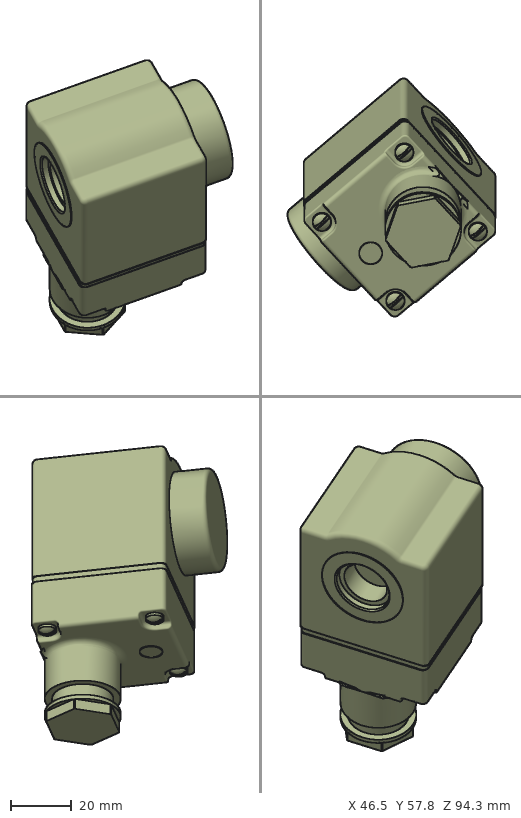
import cadquery as cq
import math


body_width = 46.5
body_depth = 45.1
body_bottom = 45.3
shoulder_z = 89.8
total_height = 94.3
crown_radius = 22.1
edge_radius = 1.9
axis_z = total_height - crown_radius

boss_diameter = 34.3
boss_length = 12.3
boss_edge_radius = 1.5
ring_diameter = 29.2
ring_height = 0.4

bore_diameter = 15.5
bore_depth = 10.2
counterbore_diameter = 19.0
counterbore_depth = 2.3
mouth_diameter = 20.0

housing_width = 45.6
housing_front = -0.3
housing_back = body_depth
housing_top = 43.4
housing_bottom = 25.6
bottom_edge_radius = 1.5
lip_side_inset = 0.3
lip_face_inset = 0.1
lip_corner_radius = 2.1

pocket_size = 9.05
pocket_height = 2.45
pocket_corner_radius = 4.2
pocket_ceiling_radius = 1.1
pocket_lip_radius = 0.6
screw_inset = 4.6
screw_diameter = 6.0
screw_rim_z = 27.1
screw_dome_height = 1.3
slot_width = 0.9

pad_diameter = 7.5
pad_height = 0.3
pad_y = 35.2

gland_diameter = 25.0
gland_y = housing_front + gland_diameter / 2
collar_bottom = 10.5
flare_radius = 2.2
flare_runout_y = 1.7
web_half_width = 8.1
neck_diameter = 20.2
flange_bottom = 3.7
flange_top = 5.2
nut_across_flats = 21.9


def rod(diameter, x, y, z_low, z_high):
    """Vertical cylinder between two heights."""
    return cq.Workplane("XY", origin=(x, y, z_low)).circle(diameter / 2).extrude(z_high - z_low)


def rod_along_y(diameter, y_start, y_end):
    """Cylinder on the coil axis between two Y positions."""
    plane = cq.Workplane("XZ", origin=(0, y_start, axis_z))
    return plane.circle(diameter / 2).extrude(y_start - y_end)


def block(width, y_front, y_back, z_low, z_high):
    """Box centred on X between the given Y and Z limits."""
    plane = cq.Workplane("XY", origin=(0, (y_front + y_back) / 2, z_low))
    return plane.rect(width, y_back - y_front).extrude(z_high - z_low)


def coil_body():
    """Block with a crowned top, rounded on every edge except the bottom ones."""
    half_width = body_width / 2
    crown_half_width = math.sqrt(crown_radius**2 - (shoulder_z - axis_z) ** 2)
    shape = (
        cq.Workplane("XZ")
        .moveTo(-half_width, body_bottom)
        .lineTo(-half_width, shoulder_z)
        .lineTo(-crown_half_width, shoulder_z)
        .threePointArc((0, total_height), (crown_half_width, shoulder_z))
        .lineTo(half_width, shoulder_z)
        .lineTo(half_width, body_bottom)
        .close()
        .extrude(-body_depth)
    )
    shape = shape.edges("|Y and (not <Z)").fillet(edge_radius)
    return shape.faces("<Y or >Y").edges("not <Z").fillet(edge_radius)


def housing_shell():
    """Connector housing with a slightly inset lip joining it to the coil."""
    lip_width = body_width - 2 * lip_side_inset
    lip_back = body_depth - lip_face_inset
    lip = block(lip_width, lip_face_inset, lip_back, housing_top, body_bottom)
    lip = lip.edges("|Z").fillet(lip_corner_radius)
    shell = block(housing_width, housing_front, housing_back, housing_bottom, housing_top)
    shell = shell.edges("|Z").fillet(edge_radius)
    return shell.faces("<Z").edges().fillet(bottom_edge_radius).union(lip)


def pocket(x_side, y_corner, y_side):
    """Corner pocket, rounded around the screw and along its ceiling."""
    cutter = (
        cq.Workplane("XY", origin=(x_side * housing_width / 2, y_corner, housing_bottom - pocket_height))
        .rect(2 * pocket_size, 2 * pocket_size)
        .extrude(2 * pocket_height)
    )
    inner_x = "<X" if x_side > 0 else ">X"
    inner_y = "<Y" if y_side > 0 else ">Y"
    cutter = cutter.faces(inner_x).edges("|Z").edges(inner_y).fillet(pocket_corner_radius)
    return cutter.faces(">Z").edges().fillet(pocket_ceiling_radius)


def pocket_rim(x_side, y_corner):
    """Selector for the arc where a pocket ceiling meets the rounded housing corner."""
    x_corner = x_side * housing_width / 2
    ceiling_z = housing_bottom + pocket_height
    margin = edge_radius / 2
    return cq.selectors.BoxSelector(
        (x_corner - margin, y_corner - margin, ceiling_z - pocket_lip_radius),
        (x_corner + margin, y_corner + margin, ceiling_z + pocket_lip_radius),
    )


def screw(x, y):
    """Domed screw head with a slot along Y."""
    head_radius = screw_diameter / 2
    tip_z = screw_rim_z - screw_dome_height
    sphere_radius = (head_radius**2 + screw_dome_height**2) / (2 * screw_dome_height)
    dome = cq.Workplane("XY", origin=(x, y, tip_z + sphere_radius)).sphere(sphere_radius)
    head = rod(screw_diameter, x, y, tip_z, housing_bottom + pocket_height).intersect(dome)
    slot = (
        cq.Workplane("XY", origin=(x, y, tip_z))
        .rect(slot_width, screw_diameter)
        .extrude(screw_dome_height)
    )
    return head.cut(slot)


def gland_flare():
    """Concave flare from collar to housing that runs out towards the front face."""
    collar_radius = gland_diameter / 2
    low_z = housing_bottom - flare_radius
    middle = flare_radius * (1 - math.sqrt(0.5))
    flare = (
        cq.Workplane("XZ", origin=(0, gland_y, 0))
        .moveTo(0, low_z)
        .lineTo(collar_radius, low_z)
        .threePointArc(
            (collar_radius + middle, housing_bottom - middle),
            (collar_radius + flare_radius, housing_bottom),
        )
        .lineTo(0, housing_bottom)
        .close()
        .revolve(360, (0, 0, 0), (0, 1, 0))
    )
    runout = (
        cq.Workplane("YZ")
        .moveTo(housing_front, housing_bottom)
        .lineTo(flare_runout_y, low_z)
        .lineTo(housing_back, low_z)
        .lineTo(housing_back, housing_bottom)
        .close()
        .extrude(body_width / 2, both=True)
    )
    return flare.intersect(runout)


def gland_web():
    """Tapered web carrying the front face down to the collar."""
    top_z = housing_bottom + bottom_edge_radius
    return (
        cq.Workplane("XZ", origin=(0, housing_front, 0))
        .moveTo(-web_half_width, top_z)
        .lineTo(web_half_width, top_z)
        .lineTo(0, housing_bottom)
        .close()
        .extrude(-bottom_edge_radius)
    )


def cable_gland():
    """Collar, neck, flange and hexagonal nut stacked on one vertical axis."""
    collar = rod(gland_diameter, 0, gland_y, collar_bottom, housing_bottom + bottom_edge_radius)
    neck = rod(neck_diameter, 0, gland_y, flange_top, collar_bottom)
    flange = rod(gland_diameter, 0, gland_y, flange_bottom, flange_top)
    across_corners = nut_across_flats / math.cos(math.pi / 6)
    hexagon = (
        cq.Workplane("XY", origin=(0, gland_y, 0)).polygon(6, across_corners).extrude(flange_bottom)
    )
    nut = hexagon.intersect(rod(gland_diameter, 0, gland_y, 0, flange_bottom))
    return collar.union(neck).union(flange).union(nut).union(gland_flare()).union(gland_web())


boss = rod_along_y(boss_diameter, body_depth - edge_radius, body_depth + boss_length)
boss = boss.faces(">Y").edges().fillet(boss_edge_radius)
ring = rod_along_y(ring_diameter, -ring_height, edge_radius)
result = coil_body().union(boss).union(ring)

counterbore = rod_along_y(counterbore_diameter, -ring_height, counterbore_depth)
bore = rod_along_y(bore_diameter, -ring_height, bore_depth)
result = result.cut(counterbore).cut(bore)
mouth_chamfer = (mouth_diameter - counterbore_diameter) / 2
mouth_edge = cq.selectors.RadiusNthSelector(0)
result = result.faces("<Y").edges(mouth_edge).chamfer(mouth_chamfer)

housing = housing_shell().union(rod(pad_diameter, 0, pad_y, housing_bottom - pad_height, housing_bottom))
corners = [
    (x_side, y_corner, y_side)
    for x_side in (-1, 1)
    for y_corner, y_side in ((housing_front, -1), (housing_back, 1))
]
for x_side, y_corner, y_side in corners:
    housing = housing.cut(pocket(x_side, y_corner, y_side))
    housing = housing.edges(pocket_rim(x_side, y_corner)).fillet(pocket_lip_radius)
housing = housing.union(cable_gland())
for x_side, y_corner, y_side in corners:
    screw_x = x_side * (housing_width / 2 - screw_inset)
    screw_y = y_corner - y_side * screw_inset
    housing = housing.union(screw(screw_x, screw_y))
result = result.union(housing)